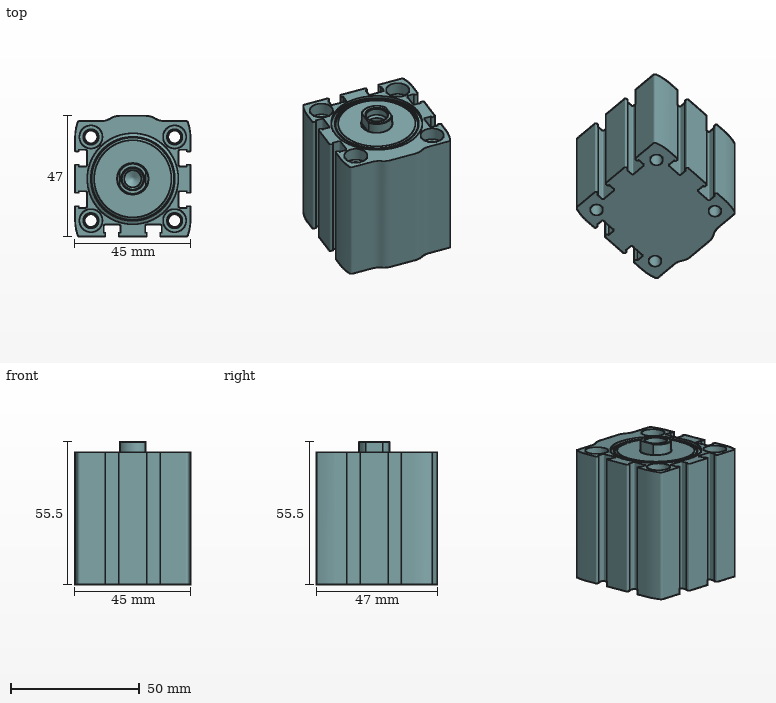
import cadquery as cq
import math

BODY_WIDTH = 45.0
HALF_WIDTH = BODY_WIDTH / 2
BODY_HEIGHT = 51.5
FLANK_START = 15.6
FLANK_RADIUS = 20.0
CORNER_RADIUS = 1.0

PAD_RISE = 2.0
PAD_TOP_HALF = 5.2
PAD_FOOT_HALF = 12.0

SLOT_OFFSET = 8.05
SLOT_OPENING = 5.1
SLOT_INNER_WIDTH = 6.4
SLOT_LIP = 1.6
SLOT_DEPTH = 4.65
SLOT_FILLET = 0.45
SLOT_SIDE_ANGLES = (-90, 0, 90)

MOUNT_PITCH = 32.5
MOUNT_BORE = 4.92
MOUNT_COUNTERBORE = 9.0
MOUNT_COUNTERBORE_DEPTH = 5.2
MOUNT_CHAMFER_DIAMETER = 6.0

GROOVE_OUTER_RADIUS = 35.4 / 2
GROOVE_WALL_DEPTH = 1.05
RIDGE_OUTER_RADIUS = 16.35
RIDGE_INNER_RADIUS = 16.1
RIDGE_DEPTH = 0.3
COVER_FOOT_RADIUS = 32.0 / 2
COVER_FOOT_DEPTH = 1.0
COVER_EDGE_RADIUS = 15.35
COVER_EDGE_DEPTH = 0.42
COVER_FACE_RADIUS = 15.0
COVER_FACE_DEPTH = 0.25

ROD_DIAMETER = 12.0
ROD_RADIUS = ROD_DIAMETER / 2
ROD_PROJECTION = 4.0
ROD_TOP = BODY_HEIGHT + ROD_PROJECTION
ROD_SEAT_DEPTH = 25.0
ROD_CHAMFER = 0.2
ROD_HOLE_CHAMFER = 0.15
FLAT_WIDTH = 10.0
FLAT_LENGTH = 4.8
FLAT_SHOULDER_DROP = 0.55
THREAD_DRILL = 6.65
THREAD_DEPTH = 16.0
RECESS_DIAMETER = 8.4
RECESS_DEPTH = 3.2
RECESS_MOUTH_DIAMETER = 9.0
RECESS_MOUTH_DEPTH = 0.4
DRILL_POINT_ANGLE = 118.0


def revolve_profile(points):
    """Solid of revolution about Z from (radius, height) points."""
    return cq.Workplane("XZ").polyline(points).close().revolve(360, (0, 0), (0, 1))


def mirrored(solid, plane):
    """The solid joined to its mirror image."""
    return solid.union(solid.mirror(plane))


def square_block():
    """Extruded square section whose side flanks curve in towards rounded corners."""
    end_angle = math.asin((HALF_WIDTH - FLANK_START) / FLANK_RADIUS)

    def flank_point(angle):
        return (
            HALF_WIDTH - FLANK_RADIUS * (1 - math.cos(angle)),
            FLANK_START + FLANK_RADIUS * math.sin(angle),
        )

    corner = flank_point(end_angle)
    quarter = (
        cq.Workplane("XY")
        .lineTo(HALF_WIDTH, 0)
        .lineTo(HALF_WIDTH, FLANK_START)
        .threePointArc(flank_point(end_angle / 2), corner)
        .lineTo(0, HALF_WIDTH)
        .close()
        .extrude(BODY_HEIGHT)
        .edges(cq.selectors.NearestToPointSelector((*corner, BODY_HEIGHT / 2)))
        .fillet(CORNER_RADIUS)
    )
    return mirrored(mirrored(quarter, "YZ"), "XZ")


def port_pad():
    """Pad whose sides are S-curves of two equal tangent arcs."""
    pad_top = HALF_WIDTH + PAD_RISE
    curve_middle = ((PAD_TOP_HALF + PAD_FOOT_HALF) / 2, HALF_WIDTH + PAD_RISE / 2)
    half_pad = (
        cq.Workplane("XY")
        .lineTo(0, pad_top)
        .lineTo(PAD_TOP_HALF, pad_top)
        .tangentArcPoint(curve_middle, relative=False)
        .tangentArcPoint((PAD_FOOT_HALF, HALF_WIDTH), relative=False)
        .lineTo(PAD_FOOT_HALF, 0)
        .close()
        .extrude(BODY_HEIGHT)
    )
    return mirrored(half_pad, "YZ")


def sensor_slot(offset):
    """T-slot cutter in the -Y face, with its lips and inner corners rounded."""
    face_y = -HALF_WIDTH
    mouth_half = SLOT_OPENING / 2
    inner_half = SLOT_INNER_WIDTH / 2
    lip_y = face_y + SLOT_LIP
    floor_y = face_y + SLOT_DEPTH
    fillet = SLOT_FILLET
    diagonal = fillet * (1 - math.sqrt(0.5))
    half_slot = (
        cq.Workplane("XY")
        .moveTo(offset, face_y)
        .lineTo(offset + mouth_half + fillet, face_y)
        .threePointArc(
            (offset + mouth_half + diagonal, face_y + diagonal),
            (offset + mouth_half, face_y + fillet),
        )
        .lineTo(offset + mouth_half, lip_y - fillet)
        .threePointArc(
            (offset + mouth_half + diagonal, lip_y - diagonal),
            (offset + mouth_half + fillet, lip_y),
        )
        .lineTo(offset + inner_half, lip_y)
        .lineTo(offset + inner_half, floor_y - fillet)
        .threePointArc(
            (offset + inner_half - diagonal, floor_y - diagonal),
            (offset + inner_half - fillet, floor_y),
        )
        .lineTo(offset, floor_y)
        .close()
        .extrude(BODY_HEIGHT)
    )
    return half_slot.union(half_slot.mirror("YZ", (offset, 0, 0)))


def mounting_hole(x, y):
    """Through hole with a counterbore and a chamfer on the counterbore floor."""
    floor = BODY_HEIGHT - MOUNT_COUNTERBORE_DEPTH
    bore_radius = MOUNT_BORE / 2
    chamfer_radius = MOUNT_CHAMFER_DIAMETER / 2
    counterbore_radius = MOUNT_COUNTERBORE / 2
    return revolve_profile([
        (0, 0),
        (bore_radius, 0),
        (bore_radius, floor - (chamfer_radius - bore_radius)),
        (chamfer_radius, floor),
        (counterbore_radius, floor),
        (counterbore_radius, BODY_HEIGHT),
        (0, BODY_HEIGHT),
    ]).translate((x, y, 0))


def cover_groove():
    """Recess above the sunken end cover and the stepped ring groove around it."""
    top = BODY_HEIGHT
    return revolve_profile([
        (GROOVE_OUTER_RADIUS, top),
        (GROOVE_OUTER_RADIUS, top - GROOVE_WALL_DEPTH),
        (RIDGE_OUTER_RADIUS, top - RIDGE_DEPTH),
        (RIDGE_INNER_RADIUS, top - RIDGE_DEPTH),
        (COVER_FOOT_RADIUS, top - COVER_FOOT_DEPTH),
        (COVER_EDGE_RADIUS, top - COVER_EDGE_DEPTH),
        (COVER_FACE_RADIUS, top - COVER_FACE_DEPTH),
        (0, top - COVER_FACE_DEPTH),
        (0, top),
    ])


def rod_hole():
    """Blind hole for the rod with a small chamfer at its mouth."""
    face = BODY_HEIGHT - COVER_FACE_DEPTH
    return revolve_profile([
        (0, BODY_HEIGHT - ROD_SEAT_DEPTH),
        (ROD_RADIUS, BODY_HEIGHT - ROD_SEAT_DEPTH),
        (ROD_RADIUS, face - ROD_HOLE_CHAMFER),
        (ROD_RADIUS + ROD_HOLE_CHAMFER, face),
        (0, face),
    ])


def build_housing():
    body = square_block().union(port_pad())
    for angle in SLOT_SIDE_ANGLES:
        for offset in (-SLOT_OFFSET, SLOT_OFFSET):
            body = body.cut(sensor_slot(offset).rotate((0, 0, 0), (0, 0, 1), angle))
    for x in (-MOUNT_PITCH / 2, MOUNT_PITCH / 2):
        for y in (-MOUNT_PITCH / 2, MOUNT_PITCH / 2):
            body = body.cut(mounting_hole(x, y))
    return body.cut(cover_groove()).cut(rod_hole())


def rod_socket():
    """Threaded hole of the rod, with a wider recess at its mouth and a drill point."""
    drill_radius = THREAD_DRILL / 2
    recess_radius = RECESS_DIAMETER / 2
    mouth_radius = RECESS_MOUTH_DIAMETER / 2
    point_height = drill_radius / math.tan(math.radians(DRILL_POINT_ANGLE / 2))
    recess_floor = ROD_TOP - RECESS_DEPTH
    return revolve_profile([
        (0, ROD_TOP - THREAD_DEPTH - point_height),
        (drill_radius, ROD_TOP - THREAD_DEPTH),
        (drill_radius, recess_floor - (recess_radius - drill_radius)),
        (recess_radius, recess_floor),
        (recess_radius, ROD_TOP - RECESS_MOUTH_DEPTH),
        (mouth_radius, ROD_TOP),
        (0, ROD_TOP),
    ])


def wrench_flats():
    """Cutter for both flats: everything outside the flat width, with a coned shoulder below."""
    flat_half = FLAT_WIDTH / 2
    shoulder = ROD_TOP - FLAT_LENGTH
    side = (
        cq.Workplane("XZ")
        .moveTo(flat_half, ROD_TOP)
        .lineTo(flat_half, shoulder)
        .lineTo(ROD_RADIUS, shoulder - FLAT_SHOULDER_DROP)
        .lineTo(ROD_RADIUS, ROD_TOP)
        .close()
        .extrude(ROD_RADIUS, both=True)
    )
    return mirrored(side, "YZ")


def build_rod():
    rod = (
        cq.Workplane("XY", origin=(0, 0, BODY_HEIGHT - ROD_SEAT_DEPTH))
        .circle(ROD_RADIUS)
        .extrude(ROD_SEAT_DEPTH + ROD_PROJECTION)
        .faces(">Z")
        .chamfer(ROD_CHAMFER)
    )
    return rod.cut(wrench_flats()).cut(rod_socket())


housing = build_housing()
rod = build_rod()
result = cq.Compound.makeCompound([housing.val(), rod.val()])